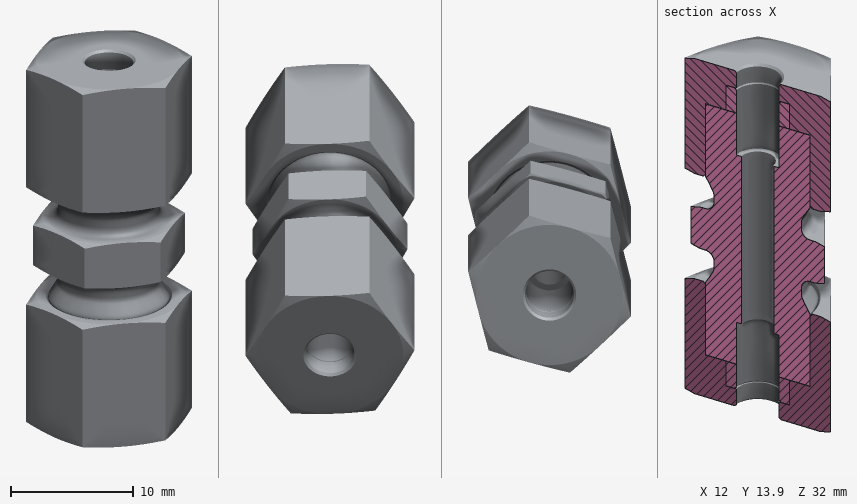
import cadquery as cq
import math


TOTAL_LENGTH = 32.0
NUT_FLATS = 12.0
NUT_LENGTH = 11.0
BODY_FLATS = 11.0
BODY_HEX_HEIGHT = 4.0
HEX_CHAMFER_ANGLE = math.radians(15)

NECK_RADIUS = 8.4 / 2
THREAD_RADIUS = 10.0 / 2
NECK_FILLET = 0.8
THREAD_RUNOUT_ANGLE = math.radians(30)
NECK_TANGENT_HEIGHT = 3.45

TUBE_RADIUS = 4.0 / 2
FLOW_RADIUS = 3.0 / 2
TUBE_STOP_HEIGHT = 8.0

NUT_COLLAR_LENGTH = 1.7
ENTRY_CHAMFER = 0.2
MOUTH_CHAMFER = 0.2
RING_RADIUS = 6.0 / 2
RING_LENGTH = 2.3
RING_CHAMFER = 0.15

END_HEIGHT = TOTAL_LENGTH / 2
NUT_MOUTH_HEIGHT = END_HEIGHT - NUT_LENGTH
RING_TOP = END_HEIGHT - NUT_COLLAR_LENGTH
BODY_END = RING_TOP - RING_LENGTH
HEX_HALF = BODY_HEX_HEIGHT / 2


def revolve_profile(profile):
    """Turn a closed (radius, height) wire about the Z axis."""
    return profile.close().revolve(360, (0, 0, 0), (0, 1, 0))


def cylinder(radius, bottom, top):
    """Cylinder on the Z axis between two heights."""
    return cq.Workplane("XY").workplane(offset=bottom).circle(radius).extrude(top - bottom)


def chamfered_hex(flats, bottom, top):
    """Hexagon with flats facing X, its corners coned off at both ends."""
    flat_radius = flats / 2
    corner_radius = flat_radius / math.cos(math.pi / 6)
    corner_drop = (corner_radius - flat_radius) * math.tan(HEX_CHAMFER_ANGLE)
    prism = (
        cq.Workplane("XY")
        .workplane(offset=bottom)
        .polygon(6, 2 * corner_radius)
        .extrude(top - bottom)
        .rotate((0, 0, 0), (0, 0, 1), 30)
    )
    envelope = revolve_profile(
        cq.Workplane("XZ")
        .moveTo(0, bottom)
        .lineTo(flat_radius, bottom)
        .lineTo(corner_radius, bottom + corner_drop)
        .lineTo(corner_radius, top - corner_drop)
        .lineTo(flat_radius, top)
        .lineTo(0, top)
    )
    return prism.intersect(envelope)


def make_stub():
    """Upper turned end of the body: neck fillet, neck, thread runout cone and thread cylinder."""
    half_angle = THREAD_RUNOUT_ANGLE / 2
    neck_bottom = HEX_HALF + NECK_FILLET
    fillet_middle = NECK_FILLET * (1 - math.sqrt(0.5))
    cone_radius = NECK_RADIUS + NECK_FILLET * (1 - math.cos(THREAD_RUNOUT_ANGLE))
    cone_bottom = NECK_TANGENT_HEIGHT + NECK_FILLET * math.sin(THREAD_RUNOUT_ANGLE)
    cone_top = cone_bottom + (THREAD_RADIUS - cone_radius) / math.tan(THREAD_RUNOUT_ANGLE)
    blend_middle = (
        NECK_RADIUS + NECK_FILLET * (1 - math.cos(half_angle)),
        NECK_TANGENT_HEIGHT + NECK_FILLET * math.sin(half_angle),
    )
    return revolve_profile(
        cq.Workplane("XZ")
        .lineTo(NECK_RADIUS + NECK_FILLET, 0)
        .lineTo(NECK_RADIUS + NECK_FILLET, HEX_HALF)
        .threePointArc((NECK_RADIUS + fillet_middle, HEX_HALF + fillet_middle), (NECK_RADIUS, neck_bottom))
        .lineTo(NECK_RADIUS, NECK_TANGENT_HEIGHT)
        .threePointArc(blend_middle, (cone_radius, cone_bottom))
        .lineTo(THREAD_RADIUS, cone_top)
        .lineTo(THREAD_RADIUS, BODY_END)
        .lineTo(0, BODY_END)
    )


def make_body():
    """Central hexagon with a turned end and a tube socket on each side, bored through."""
    upper_stub = make_stub()
    upper_socket = cylinder(TUBE_RADIUS, TUBE_STOP_HEIGHT, BODY_END)
    body = chamfered_hex(BODY_FLATS, -HEX_HALF, HEX_HALF)
    body = body.union(upper_stub).union(upper_stub.mirror("XY"))
    body = body.cut(upper_socket).cut(upper_socket.mirror("XY"))
    return body.cut(cylinder(FLOW_RADIUS, -BODY_END, BODY_END))


def make_nut():
    """Upper union nut: threaded cavity, ring recess and tube hole, chamfered at both mouths."""
    entry_radius = TUBE_RADIUS + ENTRY_CHAMFER
    mouth_radius = THREAD_RADIUS + MOUTH_CHAMFER
    cavity = revolve_profile(
        cq.Workplane("XZ")
        .moveTo(0, NUT_MOUTH_HEIGHT)
        .lineTo(mouth_radius, NUT_MOUTH_HEIGHT)
        .lineTo(THREAD_RADIUS, NUT_MOUTH_HEIGHT + MOUTH_CHAMFER)
        .lineTo(THREAD_RADIUS, BODY_END)
        .lineTo(RING_RADIUS, BODY_END)
        .lineTo(RING_RADIUS, RING_TOP)
        .lineTo(TUBE_RADIUS, RING_TOP)
        .lineTo(TUBE_RADIUS, END_HEIGHT - ENTRY_CHAMFER)
        .lineTo(entry_radius, END_HEIGHT)
        .lineTo(0, END_HEIGHT)
    )
    return chamfered_hex(NUT_FLATS, NUT_MOUTH_HEIGHT, END_HEIGHT).cut(cavity)


def make_ring():
    """Upper sealing ring between the body end and the nut collar, its bore chamfered on top."""
    return revolve_profile(
        cq.Workplane("XZ")
        .moveTo(TUBE_RADIUS, BODY_END)
        .lineTo(RING_RADIUS, BODY_END)
        .lineTo(RING_RADIUS, RING_TOP)
        .lineTo(TUBE_RADIUS + RING_CHAMFER, RING_TOP)
        .lineTo(TUBE_RADIUS, RING_TOP - RING_CHAMFER)
    )


bodies = [make_body().val()]
for make_end_part in (make_nut, make_ring):
    upper_part = make_end_part()
    bodies.append(upper_part.val())
    bodies.append(upper_part.mirror("XY").val())

result = cq.Compound.makeCompound(bodies)